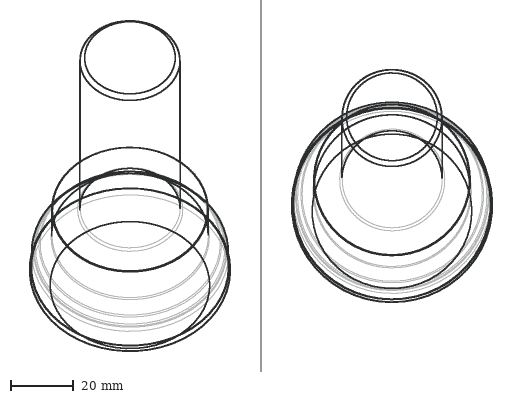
import cadquery as cq
import math

total_height = 120.05
head_top = 40.05
split_height = 9.55

shank_radius = 16.0
shank_chamfer = 1.5
shank_root_fillet = 0.8

neck_radius = 25.0
neck_edge_chamfer = 0.2
neck_root_fillet = 1.0
neck_bottom = 26.0

body_radius = 31.5
steep_cone_top_radius = 29.05
steep_cone_top = neck_bottom - (steep_cone_top_radius - neck_radius)
steep_cone_bottom_radius = 30.4
steep_cone_bottom = 19.05
body_top = steep_cone_bottom - (body_radius - steep_cone_bottom_radius)
shoulder_fillet = 2.0

rim_radius = 32.115
rim_round_radius = 2.5
rim_centre_height = 8.1
bottom_radius = 25.5

selection_margin = 0.01


def axial_revolve(outline):
    """Revolve a closed half-profile, drawn in X (radius) and Z, about the Z axis."""
    return outline.close().revolve(360, (0, 0, 0), (0, 1, 0))


def edges_at(radius, height):
    """Select the circular edges at the given height, up to the given radius."""
    reach = radius + selection_margin
    lower_corner = (-reach, -reach, height - selection_margin)
    upper_corner = (reach, reach, height + selection_margin)
    return cq.selectors.BoxSelector(lower_corner, upper_corner, boundingbox=True)


def make_holder():
    """Shank, neck, tapered shoulder and body cylinder in one turned solid."""
    outline = (
        cq.Workplane("XZ")
        .moveTo(0, split_height)
        .lineTo(body_radius, split_height)
        .lineTo(body_radius, body_top)
        .lineTo(steep_cone_bottom_radius, steep_cone_bottom)
        .lineTo(steep_cone_top_radius, steep_cone_top)
        .lineTo(neck_radius, neck_bottom)
        .lineTo(neck_radius, head_top)
        .lineTo(shank_radius, head_top)
        .lineTo(shank_radius, total_height)
        .lineTo(0, total_height)
    )
    holder = axial_revolve(outline)
    holder = holder.edges(edges_at(shank_radius, total_height)).chamfer(shank_chamfer)
    holder = holder.edges(edges_at(shank_radius, head_top)).fillet(shank_root_fillet)
    holder = holder.edges(edges_at(neck_radius, head_top)).chamfer(neck_edge_chamfer)
    holder = holder.edges(edges_at(neck_radius, neck_bottom)).fillet(neck_root_fillet)
    holder = holder.edges(edges_at(steep_cone_top_radius, steep_cone_top)).fillet(shoulder_fillet)
    holder = holder.edges(edges_at(steep_cone_bottom_radius, steep_cone_bottom)).fillet(shoulder_fillet)
    holder = holder.edges(edges_at(body_radius, body_top)).fillet(shoulder_fillet)
    return holder


def make_cutting_ring():
    """Disc with a rounded rim that runs tangentially into the bottom cone."""
    centre_radius = rim_radius - rim_round_radius
    top_offset = split_height - rim_centre_height
    top_rim_radius = centre_radius + math.sqrt(rim_round_radius**2 - top_offset**2)

    run = centre_radius - bottom_radius
    distance = math.hypot(run, rim_centre_height)
    tangent_angle = math.atan2(-rim_centre_height, -run) + math.acos(rim_round_radius / distance)
    tangent_radius = centre_radius + rim_round_radius * math.cos(tangent_angle)
    tangent_height = rim_centre_height + rim_round_radius * math.sin(tangent_angle)

    outline = (
        cq.Workplane("XZ")
        .lineTo(bottom_radius, 0)
        .lineTo(tangent_radius, tangent_height)
        .threePointArc((rim_radius, rim_centre_height), (top_rim_radius, split_height))
        .lineTo(0, split_height)
    )
    return axial_revolve(outline)


holder = make_holder()
cutting_ring = make_cutting_ring()
result = cq.Compound.makeCompound([holder.val(), cutting_ring.val()])